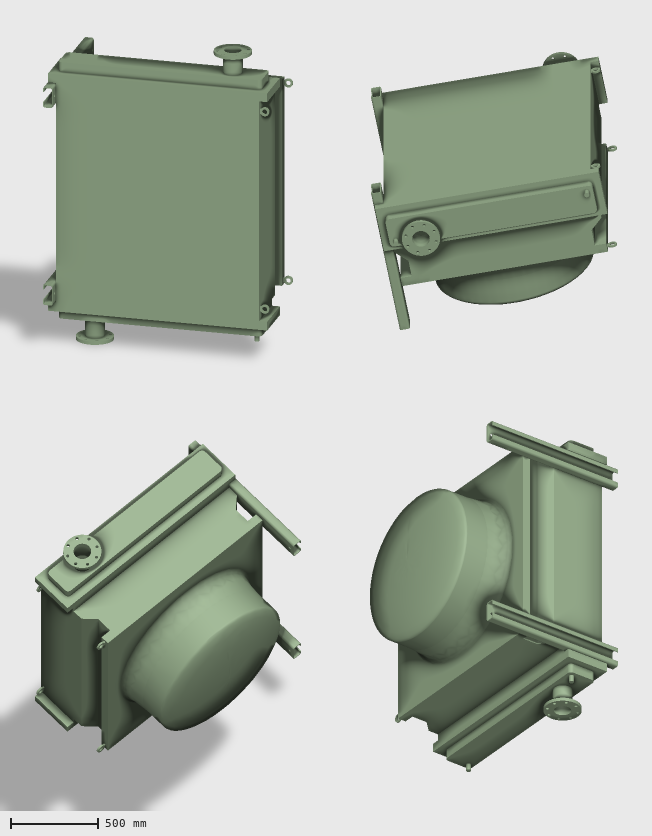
import cadquery as cq


total_height = 1830.0
core_width = 1208.0
core_depth = 276.0
end_plate_width = 1303.0
end_plate_outer_z = 721.0
end_plate_thickness = 53.0
end_plate_inner_z = end_plate_outer_z - end_plate_thickness

duct_height = 1255.0
duct_shoulder_y = 342.0
neck_start_y = 410.0
neck_width = 1069.0
fan_plate_width = 1200.0
fan_plate_front_y = 510.0
fan_plate_back_y = 564.0

shroud_radius = 463.0
flare_width = 40.0
flare_end_y = 712.0
shroud_end_y = 856.0
dome_apex_y = 945.0

header_y = core_depth / 2
header_depth = 180.0
header_outer_z = 780.0
header_corner_radius = 24.0

nozzle_x = 410.0
nozzle_flange_diameter = 220.0
nozzle_flange_thickness = 20.0
pipe_diameter = 113.0
bore_diameter = 100.0
bolt_circle_diameter = 180.0
bolt_hole_diameter = 18.0
bolt_count = 8

drain_x = 567.0
drain_offset_y = 53.0
drain_diameter = 30.0
drain_length = 40.0

mount_z = 600.0
rail_front_y = -71.0
rail_back_y = 824.0
rail_depth = 59.0
rail_height = 125.0
rail_thickness = 5.0
rail_bend_radius = 13.0
rail_lip_length = 31.0
rail_hole_diameter = 18.0
rail_hole_inset_front = 45.0
rail_hole_inset_back = 33.0

eye_diameter = 53.0
eye_hole_diameter = 30.0
eye_thickness = 11.0
eye_tab_height = 30.0
eye_x = 631.0
front_eye_y = 24.0
back_eye_y = (fan_plate_front_y + fan_plate_back_y) / 2


def block(x_range, y_range, z_range):
    """Box between the given lower and upper limits on each axis."""
    limits = (x_range, y_range, z_range)
    sizes = [high - low for low, high in limits]
    return cq.Workplane("XY").box(*sizes, centered=False).translate([low for low, _ in limits])


def centred_block(width, y_range, height):
    """Box centred on X = 0 and Z = 0."""
    return block((-width / 2, width / 2), y_range, (-height / 2, height / 2))


def core():
    """Core block with a wider end plate at its top and bottom."""
    body = centred_block(core_width, (0, core_depth), 2 * end_plate_inner_z)
    for z_range in ((end_plate_inner_z, end_plate_outer_z), (-end_plate_outer_z, -end_plate_inner_z)):
        body = body.union(block((-end_plate_width / 2, end_plate_width / 2), (0, core_depth), z_range))
    return body


def duct():
    """Duct that narrows to a neck and widens again at the fan plate."""
    right_side = [
        (core_width / 2, core_depth),
        (core_width / 2, duct_shoulder_y),
        (neck_width / 2, neck_start_y),
        (neck_width / 2, fan_plate_front_y),
        (fan_plate_width / 2, fan_plate_front_y),
        (fan_plate_width / 2, fan_plate_back_y),
    ]
    left_side = [(-x, y) for x, y in reversed(right_side)]
    outline = cq.Workplane("XY").workplane(offset=-duct_height / 2).polyline(right_side + left_side)
    return outline.close().extrude(duct_height)


def fan_shroud():
    """Shroud turned about Y: elliptical bell mouth, straight barrel and elliptical dome."""
    flare_length = flare_end_y - fan_plate_back_y
    dome_length = dome_apex_y - shroud_end_y
    profile = (
        cq.Workplane("YZ")
        .moveTo(dome_apex_y, 0)
        .ellipseArc(dome_length, shroud_radius, 0, 90)
        .lineTo(flare_end_y, shroud_radius)
        .ellipseArc(flare_length, flare_width, 180, 270, sense=-1)
        .lineTo(fan_plate_back_y, 0)
        .close()
    )
    return profile.revolve(360, (0, 0, 0), (1, 0, 0))


def upper_header():
    """Tank with rounded upright edges on the upper end plate."""
    y_range = (header_y - header_depth / 2, header_y + header_depth / 2)
    tank = block((-core_width / 2, core_width / 2), y_range, (end_plate_outer_z, header_outer_z))
    return tank.edges("|Z").fillet(header_corner_radius)


def upper_nozzle():
    """Pipe with a bolted flange, bored down to the top of the upper header."""
    top_z = total_height / 2
    base = cq.Workplane("XY", origin=(nozzle_x, header_y, header_outer_z))
    flange_base = cq.Workplane("XY", origin=(nozzle_x, header_y, top_z - nozzle_flange_thickness))
    length = top_z - header_outer_z
    pipe = base.circle(pipe_diameter / 2).extrude(length)
    flange = flange_base.circle(nozzle_flange_diameter / 2).extrude(nozzle_flange_thickness)
    bore = base.circle(bore_diameter / 2).extrude(length)
    bolt_holes = (
        flange_base.polarArray(bolt_circle_diameter / 2, 180 / bolt_count, 360, bolt_count)
        .circle(bolt_hole_diameter / 2)
        .extrude(nozzle_flange_thickness)
    )
    return pipe.union(flange).cut(bore).cut(bolt_holes)


def drain_stub(side):
    """Drain stub on the -X (side = -1) or +X (side = 1) end of the lower header."""
    origin = (side * drain_x, header_y - side * drain_offset_y, -header_outer_z)
    return cq.Workplane("XY", origin=origin).circle(drain_diameter / 2).extrude(-drain_length)


def make_housing():
    """Core, duct, fan shroud, headers, nozzles and drains as one solid."""
    body = core().union(duct()).union(fan_shroud())
    for feature in (upper_header(), upper_nozzle()):
        turned = feature.rotate((0, header_y, 0), (0, header_y + 18, 0), 180)
        body = body.union(feature).union(turned)
    for side in (-1, 1):
        body = body.union(drain_stub(side))
    return body


def make_rail(z):
    """Lipped channel along Y, its web flat against the -X side of the core."""
    web_x = -core_width / 2
    open_x = web_x - rail_depth
    y_range = (rail_front_y, rail_back_y)
    half_height = rail_height / 2
    half_mouth = half_height - rail_lip_length
    half_cavity = half_height - rail_thickness
    outer = block((open_x, web_x), y_range, (z - half_height, z + half_height))
    outer = outer.edges("|Y").fillet(rail_bend_radius)
    cavity_x = (open_x + rail_thickness, web_x - rail_thickness)
    cavity = block(cavity_x, y_range, (z - half_cavity, z + half_cavity))
    cavity = cavity.edges("|Y").fillet(rail_bend_radius - rail_thickness)
    mouth = block((open_x, open_x + rail_depth / 2), y_range, (z - half_mouth, z + half_mouth))
    hole_places = [(rail_front_y + rail_hole_inset_front, z), (rail_back_y - rail_hole_inset_back, z)]
    holes = (
        cq.Workplane("YZ", origin=(web_x, 0, 0))
        .pushPoints(hole_places)
        .circle(rail_hole_diameter / 2)
        .extrude(-rail_depth / 2)
    )
    return outer.cut(cavity).cut(mouth).cut(holes)


def make_eye(wall_x, y, z):
    """Lifting eye: a flat ring joined by a short tab to a wall that faces +X."""
    y_range = (y - eye_thickness / 2, y + eye_thickness / 2)
    plane = cq.Workplane("XZ", origin=(eye_x, y_range[1], z))
    disc = plane.circle(eye_diameter / 2).extrude(eye_thickness)
    hole = plane.circle(eye_hole_diameter / 2).extrude(eye_thickness)
    tab = block((wall_x, eye_x), y_range, (z - eye_tab_height / 2, z + eye_tab_height / 2))
    return disc.union(tab).cut(hole)


housing = make_housing()
rails = [make_rail(z) for z in (mount_z, -mount_z)]
eyes = [
    make_eye(wall_x, y, z)
    for wall_x, y in ((core_width / 2, front_eye_y), (fan_plate_width / 2, back_eye_y))
    for z in (mount_z, -mount_z)
]

result = cq.Compound.makeCompound(
    [housing.val()] + [rail.val() for rail in rails] + [eye.val() for eye in eyes]
)